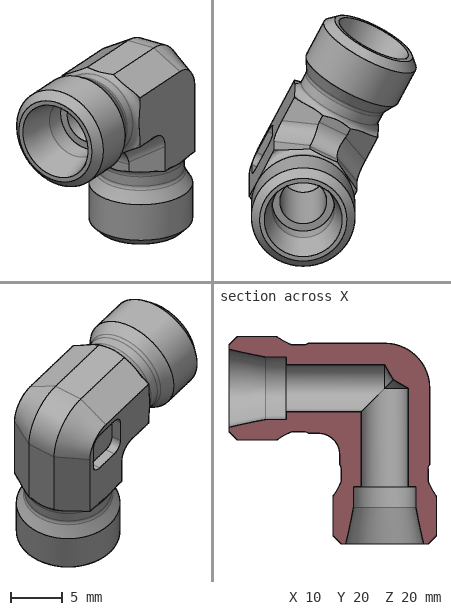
import cadquery as cq
import math

LEG_LENGTH = 15.0

BODY_WIDTH = 9.0
BODY_HEIGHT = 8.7
CREST_WIDTH = 3.0
CHAMFER_ANGLE = 30.0
BODY_END = 7.0
INNER_FILLET_RADIUS = 2.0

THREAD_RADIUS = 5.0
THREAD_START = 10.4
END_CHAMFER = 0.8
NECK_RADIUS = 4.2
NECK_FILLET_RADIUS = 0.8
CONE_ANGLE = 30.0

BORE_RADIUS = 2.25
TUBE_RADIUS = 3.0
TUBE_STOP_DEPTH = 5.5
SOCKET_MOUTH_RADIUS = 3.75
SOCKET_HALF_ANGLE = 12.0
DRILL_TIP_ANGLE = 120.0

RECESS_SIZE = 4.4
RECESS_CENTER = -0.17
RECESS_CORNER_RADIUS = 1.0
RECESS_DEPTH = 1.0

half_width = BODY_WIDTH / 2
half_height = BODY_HEIGHT / 2
half_crest = CREST_WIDTH / 2
side_half_height = half_height - (half_width - half_crest) * math.tan(math.radians(CHAMFER_ANGLE))
neck_start = BODY_END + NECK_FILLET_RADIUS


def second_leg(first_leg):
    """Turn a -Y leg into the -Z leg."""
    return first_leg.rotate((0, 0, 0), (1, 0, 0), 90)


def both_legs(first_leg):
    return first_leg.union(second_leg(first_leg))


def revolve_about_y(profile):
    """Revolve an XY profile, whose X is the radius, a full turn about the Y axis."""
    return profile.close().revolve(360, (0, 0, 0), (0, 1, 0))


def make_valley_cutter(start_x, tilt_angle):
    """Wedge with a rounded edge that clears the inside corner between two matching leg faces.

    The faces pass through the crest height at start_x and tilt by tilt_angle along X.
    Their mitre line lies in the plane Y = Z.
    """
    tilt = math.radians(tilt_angle)
    mitre_tilt = math.atan(math.sqrt(2) * math.tan(tilt))
    along_y_and_z = math.sin(mitre_tilt) / math.sqrt(2)
    mitre_direction = (math.cos(mitre_tilt), along_y_and_z, along_y_and_z)
    outward_y_and_z = -math.cos(mitre_tilt) / math.sqrt(2)
    outward = (math.sin(mitre_tilt), outward_y_and_z, outward_y_and_z)

    angle_between_normals = math.acos(math.sin(tilt) ** 2)
    half_opening = (math.pi - angle_between_normals) / 2
    tangent_length = INNER_FILLET_RADIUS / math.tan(half_opening)
    tangent_x = tangent_length * math.cos(half_opening)
    tangent_y = tangent_length * math.sin(half_opening)
    reach = LEG_LENGTH
    reach_y = reach * math.tan(half_opening)

    plane = cq.Plane(origin=(start_x, -half_height, -half_height), xDir=outward, normal=mitre_direction)
    return (
        cq.Workplane(plane)
        .moveTo(tangent_x, tangent_y)
        .lineTo(reach, reach_y)
        .lineTo(reach, -reach_y)
        .lineTo(tangent_x, -tangent_y)
        .radiusArc((tangent_x, tangent_y), INNER_FILLET_RADIUS)
        .close()
        .extrude(reach, both=True)
    )


def make_body():
    crest_points = [
        (half_width, side_half_height),
        (half_crest, half_height),
        (-half_crest, half_height),
        (-half_width, side_half_height),
    ]
    root_points = [(-x, -z) for x, z in crest_points]
    leg = cq.Workplane("XZ").polyline(crest_points + root_points).close().extrude(neck_start)

    bend_points = [(half_width, 0)] + crest_points + [(-half_width, 0)]
    bend = cq.Workplane("XZ").polyline(bend_points).close().revolve(90, (0, 0, 0), (-1, 0, 0))

    corner_block = (
        cq.Workplane("XY", origin=(0, -neck_start, -neck_start))
        .box(BODY_WIDTH, neck_start, neck_start, centered=(True, False, False))
    )
    body = both_legs(leg).union(bend).union(corner_block)
    body = body.cut(make_valley_cutter(0, 0))
    body = body.cut(make_valley_cutter(half_crest, CHAMFER_ANGLE))
    return body.cut(make_valley_cutter(-half_crest, -CHAMFER_ANGLE))


def make_neck_relief():
    """Ring that trims the end of a leg with a concave quarter round down to the neck."""
    flare_radius = NECK_RADIUS + NECK_FILLET_RADIUS
    outside_radius = BODY_WIDTH
    profile = (
        cq.Workplane("XY")
        .moveTo(NECK_RADIUS, -neck_start)
        .radiusArc((flare_radius, -BODY_END), NECK_FILLET_RADIUS)
        .lineTo(outside_radius, -BODY_END)
        .lineTo(outside_radius, -neck_start)
    )
    return revolve_about_y(profile)


def make_threaded_end():
    cone = math.radians(CONE_ANGLE)
    fillet_tangent = NECK_FILLET_RADIUS * math.tan(cone / 2)
    cone_root = THREAD_START - (THREAD_RADIUS - NECK_RADIUS) / math.tan(cone)
    fillet_end = (
        NECK_RADIUS + fillet_tangent * math.sin(cone),
        -(cone_root + fillet_tangent * math.cos(cone)),
    )
    profile = (
        cq.Workplane("XY")
        .moveTo(0, -BODY_END)
        .lineTo(NECK_RADIUS, -BODY_END)
        .lineTo(NECK_RADIUS, -(cone_root - fillet_tangent))
        .radiusArc(fillet_end, -NECK_FILLET_RADIUS)
        .lineTo(THREAD_RADIUS, -THREAD_START)
        .lineTo(THREAD_RADIUS, -(LEG_LENGTH - END_CHAMFER))
        .lineTo(THREAD_RADIUS - END_CHAMFER, -LEG_LENGTH)
        .lineTo(0, -LEG_LENGTH)
    )
    return revolve_about_y(profile)


def make_bore():
    """Drilled bore with a conical tip just past the elbow centre, and the stepped tube socket."""
    tip_height = BORE_RADIUS / math.tan(math.radians(DRILL_TIP_ANGLE / 2))
    taper_depth = (SOCKET_MOUTH_RADIUS - TUBE_RADIUS) / math.tan(math.radians(SOCKET_HALF_ANGLE))
    tube_stop = -(LEG_LENGTH - TUBE_STOP_DEPTH)
    profile = (
        cq.Workplane("XY")
        .moveTo(0, tip_height)
        .lineTo(BORE_RADIUS, 0)
        .lineTo(BORE_RADIUS, tube_stop)
        .lineTo(TUBE_RADIUS, tube_stop)
        .lineTo(TUBE_RADIUS, -(LEG_LENGTH - taper_depth))
        .lineTo(SOCKET_MOUTH_RADIUS, -LEG_LENGTH)
        .lineTo(0, -LEG_LENGTH)
    )
    return revolve_about_y(profile)


def make_recess():
    return (
        cq.Workplane("YZ", origin=(-half_width, 0, 0))
        .center(RECESS_CENTER, RECESS_CENTER)
        .rect(RECESS_SIZE, RECESS_SIZE)
        .extrude(RECESS_DEPTH)
        .edges("|X")
        .fillet(RECESS_CORNER_RADIUS)
    )


neck_relief = make_neck_relief()
result = make_body().cut(neck_relief).cut(second_leg(neck_relief))
result = result.union(both_legs(make_threaded_end()))
result = result.cut(both_legs(make_bore())).cut(make_recess())